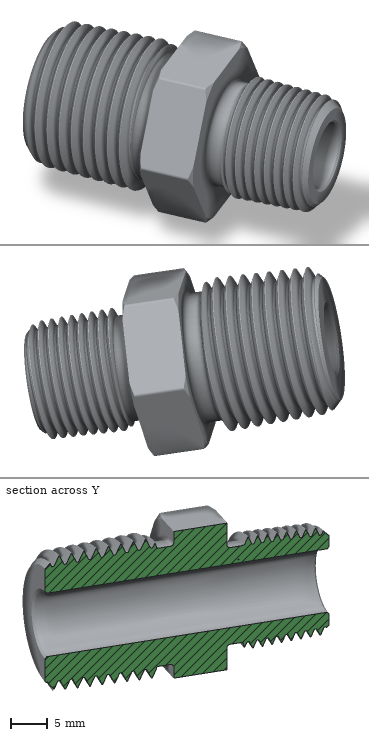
import cadquery as cq
import math

length = 41.7
hex_start = 18.9
hex_end = 26.77

across_flats = 22.2
hex_corner_round = 0.4
hex_face_radius = 11.95
hex_chamfer = 0.5

bore_radius = 4.75
bore_chamfer = 0.3

large_neck_radius = 8.95
small_neck_radius = 7.35
large_root_fillet = 0.45
small_root_fillet = 0.35

taper = 1 / 32
crest_flat = 0.1
root_land = 0.13
embed = 0.15

large_pitch = 1.815
large_thread_length = 16.47
large_crest_radius = 10.15
large_root_radius = 8.67
large_face_radius = 8.5
large_end_chamfer = 1.2
large_chamfer_radius = 9.7
large_runout = 0.9
large_crest_position = 2.1

small_pitch = 1.415
small_thread_length = 12.68
small_crest_radius = 8.15
small_root_radius = 7.0
small_face_radius = 6.75
small_end_chamfer = 0.95
small_chamfer_radius = 7.7
small_runout = 0.63
small_crest_position = 2.0


def revolve_x(points):
    """Revolve a closed (x, radius) outline about the X axis."""
    return cq.Workplane("XY").polyline(points).close().revolve(360, (0, 0, 0), (1, 0, 0))


def thread_ridge(end, start_root, start_crest, pitch, crest_position):
    """Right-handed conical ridge running past 0 and end, cresting at crest_position on +Z."""
    turns_before = math.ceil(crest_position / pitch) + 1
    origin = crest_position - turns_before * pitch
    turns = math.ceil((end - origin) / pitch) + 1
    root = start_root + taper * origin
    crest = start_crest + taper * origin
    helix = cq.Wire.makeHelix(pitch, turns * pitch, root, angle=math.degrees(math.atan(taper)))
    half_foot = (pitch - root_land) / 2
    outline = [
        (root - embed, -half_foot),
        (crest, -crest_flat / 2),
        (crest, crest_flat / 2),
        (root - embed, half_foot),
    ]
    ridge = cq.Workplane("XZ").polyline(outline).close().sweep(cq.Workplane(helix), isFrenet=True)
    ridge = ridge.rotate((0, 0, 0), (0, 0, 1), 180)
    return ridge.rotate((0, 0, 0), (0, 1, 0), 90).translate((origin, 0, 0))


def threaded_end(end, start_root, start_crest, pitch, crest_position, envelope):
    """Conical core with its helical ridge, free end at 0, trimmed to the envelope."""
    core_end = end + pitch
    core_radius = start_root + taper * core_end
    core = revolve_x([
        (-pitch, 0),
        (-pitch, start_root - taper * pitch),
        (core_end, core_radius),
        (core_end, 0),
    ])
    ridge = thread_ridge(end, start_root, start_crest, pitch, crest_position)
    return core.intersect(envelope).union(ridge.intersect(envelope))


def large_thread():
    outer = large_crest_radius + large_pitch
    envelope = revolve_x([
        (0, 0),
        (0, large_face_radius),
        (large_end_chamfer, large_chamfer_radius),
        (large_end_chamfer, outer),
        (large_thread_length - large_runout, outer),
        (large_thread_length, large_neck_radius),
        (large_thread_length, 0),
    ])
    return threaded_end(large_thread_length, large_root_radius, large_crest_radius,
                        large_pitch, large_crest_position, envelope)


def small_thread():
    outer = small_crest_radius + small_pitch
    envelope = revolve_x([
        (0, 0),
        (0, small_face_radius),
        (small_end_chamfer, small_chamfer_radius),
        (small_end_chamfer, outer),
        (small_thread_length - small_runout, outer),
        (small_thread_length, small_neck_radius),
        (small_thread_length, 0),
    ])
    thread = threaded_end(small_thread_length, small_root_radius, small_crest_radius,
                          small_pitch, small_crest_position, envelope)
    return thread.rotate((0, 0, 0), (0, 0, 1), 180).translate((length, 0, 0))


def hexagon():
    width = hex_end - hex_start
    sharp_diameter = across_flats / math.cos(math.pi / 6)
    outer = sharp_diameter / 2
    prism = cq.Workplane("YZ").workplane(offset=hex_start).polygon(6, sharp_diameter).extrude(width)
    prism = prism.edges("|X").fillet(hex_corner_round)
    trim = revolve_x([
        (hex_start, 0),
        (hex_start, hex_face_radius),
        (hex_start + hex_chamfer, outer),
        (hex_end - hex_chamfer, outer),
        (hex_end, hex_face_radius),
        (hex_end, 0),
    ])
    return prism.intersect(trim)


def neck(thread_side, hex_side, radius, root_fillet):
    """Plain neck that flares through a concave fillet into the face of the hexagon."""
    direction = math.copysign(1, thread_side - hex_side)
    center_x = hex_side + direction * root_fillet
    center_radius = radius + root_fillet
    offset = root_fillet * math.sqrt(0.5)
    outline = (
        cq.Workplane("XY")
        .moveTo(thread_side, 0)
        .lineTo(thread_side, radius)
        .lineTo(center_x, radius)
        .threePointArc((center_x - direction * offset, center_radius - offset), (hex_side, center_radius))
        .lineTo(hex_side, 0)
        .close()
    )
    return outline.revolve(360, (0, 0, 0), (1, 0, 0))


def bore():
    mouth = bore_radius + bore_chamfer
    return revolve_x([
        (0, 0),
        (0, mouth),
        (bore_chamfer, bore_radius),
        (length - bore_chamfer, bore_radius),
        (length, mouth),
        (length, 0),
    ])


body = hexagon()
body = body.union(neck(large_thread_length, hex_start, large_neck_radius, large_root_fillet))
body = body.union(neck(length - small_thread_length, hex_end, small_neck_radius, small_root_fillet))
body = body.union(large_thread())
body = body.union(small_thread())
result = body.cut(bore())